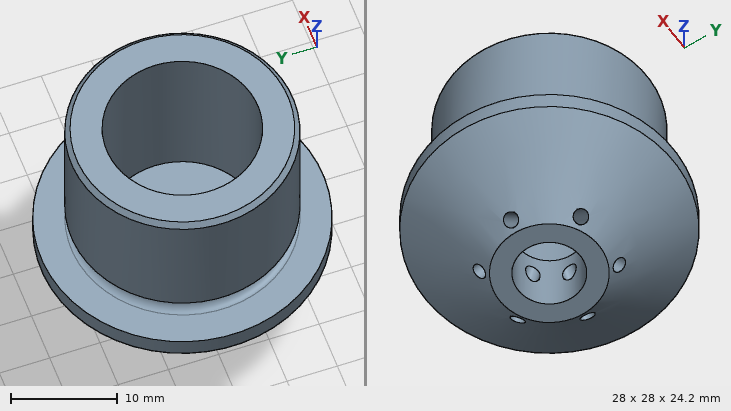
import cadquery as cq
import math

total_height = 24.15
cone_height = 7.15
flange_thickness = 2.0
neck_base = cone_height + flange_thickness

flange_diameter = 28.0
barrel_diameter = 22.0
nose_diameter = 11.2

groove_radius = 1.0
rim_chamfer = 0.5

cup_diameter = 15.0
outlet_diameter = 7.0
cup_floor = cone_height

jet_count = 6
jet_diameter = 1.5
jet_height = 0.8


def make_body():
    """Revolve the solid outer profile about the Z axis."""
    flange_radius = flange_diameter / 2
    barrel_radius = barrel_diameter / 2
    nose_radius = nose_diameter / 2
    return (
        cq.Workplane("XZ")
        .lineTo(nose_radius, 0)
        .lineTo(flange_radius, cone_height)
        .lineTo(flange_radius, neck_base)
        .lineTo(barrel_radius, neck_base)
        .threePointArc(
            (barrel_radius - groove_radius, neck_base + groove_radius),
            (barrel_radius, neck_base + 2 * groove_radius),
        )
        .lineTo(barrel_radius, total_height - rim_chamfer)
        .lineTo(barrel_radius - rim_chamfer, total_height)
        .lineTo(0, total_height)
        .close()
        .revolve(360, (0, 0, 0), (0, 1, 0))
    )


def make_bore():
    """Wide cup above a narrower outlet through the nose."""
    cup_depth = total_height - cup_floor
    cup = cq.Workplane("XY").workplane(offset=cup_floor).circle(cup_diameter / 2).extrude(cup_depth)
    outlet = cq.Workplane("XY").circle(outlet_diameter / 2).extrude(cup_floor)
    return cup.union(outlet)


def make_jet(angle):
    """Cutter running from outside the cone to the Z axis, square to the cone."""
    cone_run = (flange_diameter - nose_diameter) / 2
    slope = math.atan2(cone_height, cone_run)
    mouth_radius = nose_diameter / 2 + jet_height / math.tan(slope)
    inward = cq.Vector(-math.sin(slope), 0, math.cos(slope))
    mouth = cq.Vector(mouth_radius, 0, jet_height)
    overshoot = jet_diameter
    length = mouth_radius / math.sin(slope) + overshoot
    jet = cq.Solid.makeCylinder(jet_diameter / 2, length, mouth - inward * overshoot, inward)
    return jet.rotate(cq.Vector(0, 0, 0), cq.Vector(0, 0, 1), angle)


result = make_body().cut(make_bore())
for index in range(jet_count):
    result = result.cut(cq.Workplane(obj=make_jet(index * 360 / jet_count)))